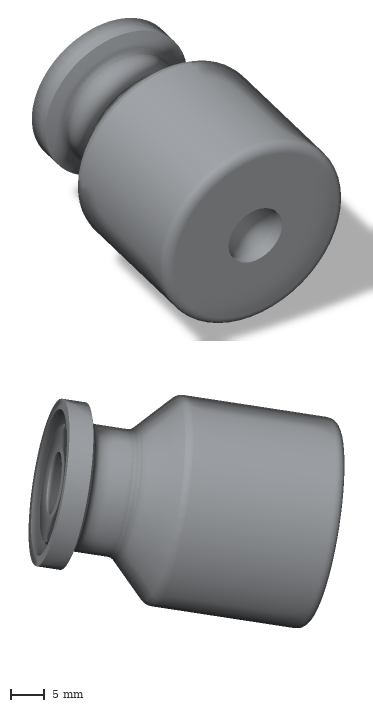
import cadquery as cq
import math

length = 41.27

body_radius = 31.5 / 2
neck_radius = 19.05 / 2
bore_radius = 9.4 / 2
shoulder_angle = math.radians(45)
shoulder_start = 11.09
shoulder_blend = 1.5
end_blend = 1.5

flange_radius = 24.99 / 2
flange_rim_width = 3.63
flange_back_angle = math.radians(20)
flange_blend = 0.75

recess_radius = 21.89 / 2
land_radius = 8.75
land_depth = 0.77
groove_center_depth = 1.33
groove_round_radius = 0.8

shoulder_length = (body_radius - neck_radius) / math.tan(shoulder_angle)
shoulder_end = shoulder_start + shoulder_length
flange_back_length = (flange_radius - neck_radius) * math.tan(flange_back_angle)
neck_start = flange_rim_width + flange_back_length


def revolve_about_x(profile):
    return profile.revolve(360, (0, 0, 0), (1, 0, 0))


def make_outer_body():
    profile = (
        cq.Workplane("XY")
        .lineTo(0, flange_radius)
        .lineTo(flange_rim_width, flange_radius)
        .lineTo(neck_start, neck_radius)
        .lineTo(shoulder_start, neck_radius)
        .lineTo(shoulder_end, body_radius)
        .lineTo(length, body_radius)
        .lineTo(length, 0)
        .close()
    )
    return revolve_about_x(profile)


def blend_circle(body, x, radius):
    """Round the circular edge centred on the axis at position x."""
    half = 0.01
    selector = cq.selectors.BoxSelector((x - half, -half, -half), (x + half, half, half))
    return body.edges(selector).fillet(radius)


def make_face_recess():
    """Recess over the land, with a round-bottomed groove around it."""
    center_radius = recess_radius - groove_round_radius

    run = groove_center_depth - land_depth
    rise = center_radius - land_radius
    wall_angle = math.atan2(rise, run) - math.asin(groove_round_radius / math.hypot(run, rise))

    def round_point(angle):
        x = groove_center_depth + groove_round_radius * math.cos(angle)
        return x, center_radius + groove_round_radius * math.sin(angle)

    arc_start = math.pi / 2
    arc_end = wall_angle - math.pi / 2
    profile = (
        cq.Workplane("XY")
        .lineTo(0, recess_radius)
        .lineTo(groove_center_depth, recess_radius)
        .threePointArc(round_point((arc_start + arc_end) / 2), round_point(arc_end))
        .lineTo(land_depth, land_radius)
        .lineTo(land_depth, 0)
        .close()
    )
    return revolve_about_x(profile)


def make_bore():
    return cq.Workplane("YZ").circle(bore_radius).extrude(length)


outer_body = make_outer_body()
outer_body = blend_circle(outer_body, neck_start, flange_blend)
outer_body = blend_circle(outer_body, shoulder_start, shoulder_blend)
outer_body = blend_circle(outer_body, shoulder_end, shoulder_blend)
outer_body = blend_circle(outer_body, length, end_blend)

result = outer_body.cut(make_face_recess()).cut(make_bore())